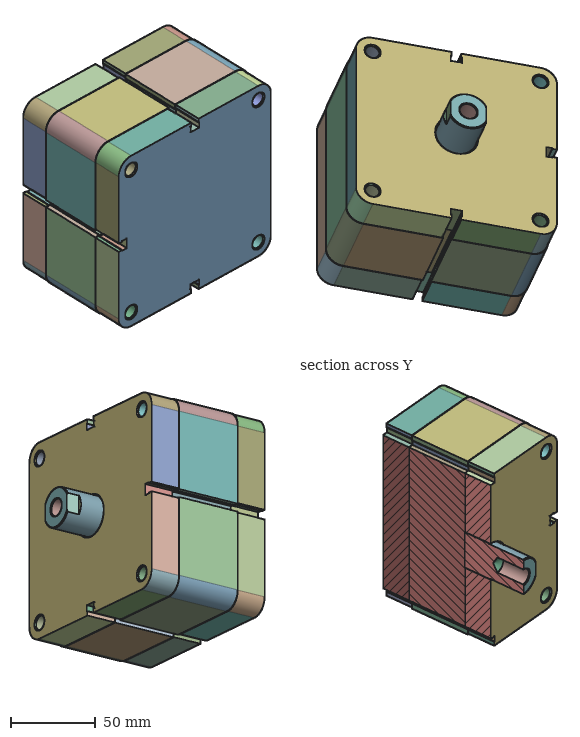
import cadquery as cq
import math

barrel_side = 124.0
barrel_length = 42.5
cover_inset = 0.35
cover_length = 19.75
bolt_pitch = 103.0

slot_depth = 7.0
slot_mouth_width = 5.0
slot_inner_width = 6.0
slot_lip_height = 3.7
cover_slot_growth = 0.5

bolt_hole_diameter = 8.5
bolt_hole_chamfer = 0.75

rod_diameter = 25.0
rod_hole_chamfer = 0.75
rod_stickout = 25.0
rod_end_chamfer = 0.5
rod_flats_width = 22.0
rod_flats_length = 8.7
rod_flats_runout = 0.5
rod_thread_diameter = 10.5
rod_thread_depth = 20.0
rod_thread_chamfer = 0.5
drill_tip_angle = 118.0

cover_side = barrel_side - 2 * cover_inset
barrel_corner_radius = (barrel_side - bolt_pitch) / 2
cover_corner_radius = (cover_side - bolt_pitch) / 2

drill_tip_height = rod_thread_diameter / 2 / math.tan(math.radians(drill_tip_angle / 2))

front_face_x = 0.0
barrel_start_x = front_face_x + cover_length
rear_cover_x = barrel_start_x + barrel_length
rod_tip_x = front_face_x - rod_stickout

slot_angles = [0, 90, 180]


def plane_at(x):
    """YZ sketch plane at the given X, extruding toward +X."""
    return cq.Workplane("YZ", origin=(x, 0, 0))


def slot_cutter(x, length, growth):
    """T-shaped slot along X in the +Z side; growth widens it on each side and thins its lips."""
    floor_z = barrel_side / 2 - slot_depth
    lip_z = barrel_side / 2 - slot_lip_height + growth
    mouth_half = slot_mouth_width / 2 + growth
    inner_half = slot_inner_width / 2 + growth
    return (
        plane_at(x)
        .moveTo(-inner_half, floor_z)
        .lineTo(inner_half, floor_z)
        .lineTo(inner_half, lip_z)
        .lineTo(mouth_half, lip_z)
        .lineTo(mouth_half, barrel_side / 2)
        .lineTo(-mouth_half, barrel_side / 2)
        .lineTo(-mouth_half, lip_z)
        .lineTo(-inner_half, lip_z)
        .close()
        .extrude(length)
    )


def slotted_block(x, length, side, corner_radius, slot_growth):
    """Rounded square block with the sensor slots and the four bolt holes along X."""
    block = plane_at(x).rect(side, side).extrude(length).edges("|X").fillet(corner_radius)
    slot = slot_cutter(x, length, slot_growth)
    for angle in slot_angles:
        block = block.cut(slot.rotate((0, 0, 0), (1, 0, 0), angle))
    bolt_holes = (
        plane_at(x)
        .rect(bolt_pitch, bolt_pitch, forConstruction=True)
        .vertices()
        .circle(bolt_hole_diameter / 2)
        .extrude(length)
    )
    return block.cut(bolt_holes)


def make_barrel():
    return slotted_block(barrel_start_x, barrel_length, barrel_side, barrel_corner_radius, 0)


def make_cover(x, outer_face):
    """End cover starting at x, with its bolt holes chamfered on the outer face."""
    cover = slotted_block(x, cover_length, cover_side, cover_corner_radius, cover_slot_growth)
    hole_rims = cover.faces(outer_face).edges(cq.selectors.RadiusNthSelector(0))
    return hole_rims.chamfer(bolt_hole_chamfer)


def add_rod_hole(cover):
    """Rod hole through the front cover, chamfered at its mouth; the rod fills the hole."""
    hole = plane_at(front_face_x).circle(rod_diameter / 2).extrude(cover_length)
    mouth = cq.Solid.makeCone(
        rod_diameter / 2 + rod_hole_chamfer,
        rod_diameter / 2,
        rod_hole_chamfer,
        pnt=cq.Vector(front_face_x, 0, 0),
        dir=cq.Vector(1, 0, 0),
    )
    return cover.cut(hole).cut(cq.Workplane(mouth))


def rod_flat_cutter():
    """Material removed on the +Y side of the rod tip to leave one wrench flat."""
    flat_y = rod_flats_width / 2
    outside_y = rod_diameter / 2
    shoulder_x = rod_tip_x + rod_flats_length
    return (
        cq.Workplane("XY", origin=(0, 0, -rod_diameter / 2))
        .moveTo(rod_tip_x, flat_y)
        .lineTo(shoulder_x, flat_y)
        .lineTo(shoulder_x + rod_flats_runout, outside_y)
        .lineTo(rod_tip_x, outside_y)
        .close()
        .extrude(rod_diameter)
    )


def rod_bore():
    """Threaded-hole core with a chamfered mouth and a conical bottom."""
    radius = rod_thread_diameter / 2
    bottom_x = rod_tip_x + rod_thread_depth
    return (
        cq.Workplane("XY")
        .moveTo(rod_tip_x, 0)
        .lineTo(rod_tip_x, radius + rod_thread_chamfer)
        .lineTo(rod_tip_x + rod_thread_chamfer, radius)
        .lineTo(bottom_x, radius)
        .lineTo(bottom_x + drill_tip_height, 0)
        .close()
        .revolve(360, (0, 0, 0), (1, 0, 0))
    )


def make_rod():
    """Piston rod running from its tip through the front cover to the barrel."""
    rod = plane_at(rod_tip_x).circle(rod_diameter / 2).extrude(barrel_start_x - rod_tip_x)
    rod = rod.faces("<X").chamfer(rod_end_chamfer)
    flat = rod_flat_cutter()
    return rod.cut(flat).cut(flat.mirror("XZ")).cut(rod_bore())


barrel = make_barrel()
rod = make_rod()
front_cover = add_rod_hole(make_cover(front_face_x, "<X"))
rear_cover = make_cover(rear_cover_x, ">X")

result = cq.Compound.makeCompound([
    front_cover.val(),
    barrel.val(),
    rear_cover.val(),
    rod.val(),
])